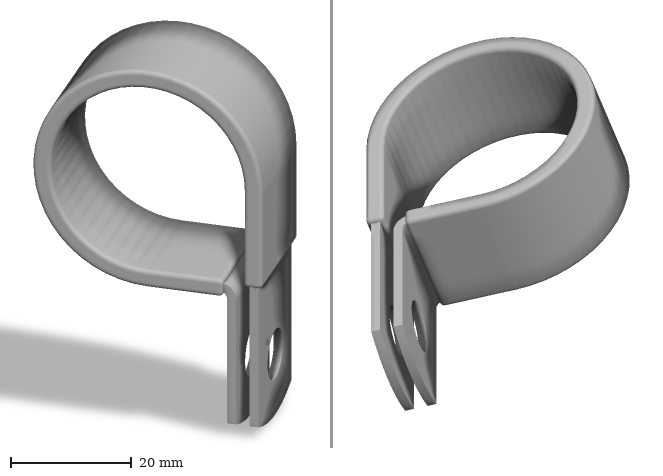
import cadquery as cq
import math

loop_radius = 19.79
strap_thickness = 1.55
cushion_cover = 0.8
cushion_width = 20.65
total_height = 65.0
side_leg_length = 17.5
bottom_leg_length = 13.0
bend_inner_radius = 1.35
hole_diameter = 8.8
hole_drop = 34.05
tip_sag = 2.1

cushion_thickness = strap_thickness + 2 * cushion_cover
strap_radius = loop_radius - cushion_cover
strap_width = cushion_width - 2 * cushion_cover
tip_z = loop_radius - total_height
bend_x = bottom_leg_length - cushion_cover
bend_z = -strap_radius - bend_inner_radius
bend_outer_radius = bend_inner_radius + strap_thickness


def extrude_along_y(outline, width):
    """Extrude a closed XZ outline symmetrically about the XZ plane."""
    return outline.close().extrude(width / 2, both=True)


def make_cushion():
    """Rounded P-shaped band: a three-quarter loop with two straight legs."""
    inner_radius = loop_radius - cushion_thickness
    diagonal = math.sqrt(0.5)
    outline = (
        cq.Workplane("XZ")
        .moveTo(loop_radius, -side_leg_length)
        .lineTo(loop_radius, 0)
        .threePointArc((-loop_radius * diagonal, loop_radius * diagonal), (0, -loop_radius))
        .lineTo(bottom_leg_length, -loop_radius)
        .lineTo(bottom_leg_length, -inner_radius)
        .lineTo(0, -inner_radius)
        .threePointArc((-inner_radius * diagonal, inner_radius * diagonal), (inner_radius, 0))
        .lineTo(inner_radius, -side_leg_length)
    )
    band = extrude_along_y(outline, cushion_width)
    leg_ends = band.faces(
        cq.selectors.NearestToPointSelector((loop_radius - cushion_thickness / 2, 0, -side_leg_length))
    ).edges("|Y")
    leg_ends = leg_ends.add(
        band.faces(
            cq.selectors.NearestToPointSelector((bottom_leg_length, 0, -loop_radius + cushion_thickness / 2))
        ).edges("|Y")
    )
    rims = band.faces("<Y or >Y").edges()
    return band.newObject(leg_ends.vals() + rims.vals()).fillet(cushion_cover)


def make_outer_tab():
    """Straight strap tab continuing down out of the side leg."""
    outline = (
        cq.Workplane("XZ")
        .moveTo(strap_radius, 0)
        .lineTo(strap_radius, tip_z)
        .lineTo(strap_radius - strap_thickness, tip_z)
        .lineTo(strap_radius - strap_thickness, 0)
    )
    return extrude_along_y(outline, strap_width)


def make_bent_tab():
    """Strap tab leaving the bottom leg and bending downward."""
    def bend_middle(radius):
        return (bend_x + radius * math.sqrt(0.5), bend_z + radius * math.sqrt(0.5))

    outline = (
        cq.Workplane("XZ")
        .moveTo(0, -strap_radius)
        .lineTo(bend_x, -strap_radius)
        .threePointArc(bend_middle(bend_inner_radius), (bend_x + bend_inner_radius, bend_z))
        .lineTo(bend_x + bend_inner_radius, tip_z)
        .lineTo(bend_x + bend_outer_radius, tip_z)
        .lineTo(bend_x + bend_outer_radius, bend_z)
        .threePointArc(bend_middle(bend_outer_radius), (bend_x, bend_z + bend_outer_radius))
        .lineTo(0, -strap_radius + strap_thickness)
    )
    return extrude_along_y(outline, strap_width)


def make_tab_envelope():
    """Tab silhouette in YZ: parallel sides, an arched tip and the bolt hole."""
    half_width = strap_width / 2
    return (
        cq.Workplane("YZ")
        .moveTo(-half_width, 0)
        .lineTo(-half_width, tip_z + tip_sag)
        .threePointArc((0, tip_z), (half_width, tip_z + tip_sag))
        .lineTo(half_width, 0)
        .close()
        .moveTo(0, -hole_drop)
        .circle(hole_diameter / 2)
        .extrude(loop_radius)
    )


tabs = make_outer_tab().union(make_bent_tab()).intersect(make_tab_envelope())
result = make_cushion().union(tabs)